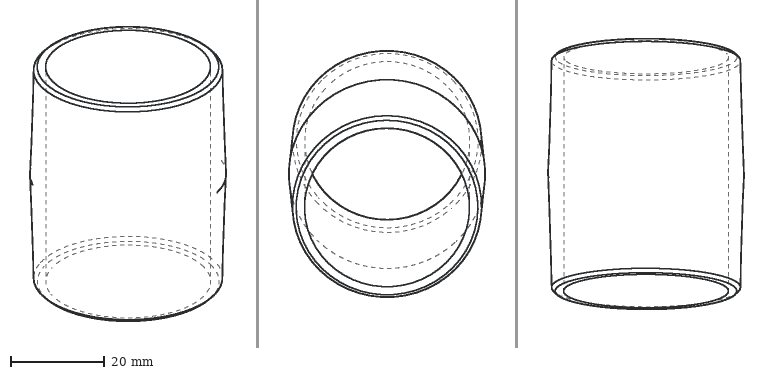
import cadquery as cq

length = 51.31
outer_diameter = 42.16
bore_diameter = 35.41
band_width = 0.1
taper_ratio = 1 / 16
chamfer = 0.8

half_length = length / 2
outer_radius = outer_diameter / 2
bore_radius = bore_diameter / 2
half_band = band_width / 2
taper_end_z = half_length - chamfer
taper_end_radius = outer_radius - (taper_end_z - half_band) * taper_ratio / 2
rim_radius = taper_end_radius - chamfer


def tapered_half():
    """Revolve the upper half of the wall about Z, from mid-length to the chamfered rim."""
    profile = (
        cq.Workplane("XZ")
        .moveTo(bore_radius, 0)
        .lineTo(outer_radius, 0)
        .lineTo(outer_radius, half_band)
        .lineTo(taper_end_radius, taper_end_z)
        .lineTo(rim_radius, half_length)
        .lineTo(bore_radius, half_length)
        .close()
    )
    return profile.revolve(360, (0, 0, 0), (0, 1, 0))


upper_half = tapered_half()
lower_half = upper_half.rotate((0, 0, 0), (0, 1, 0), 180)
result = upper_half.union(lower_half)